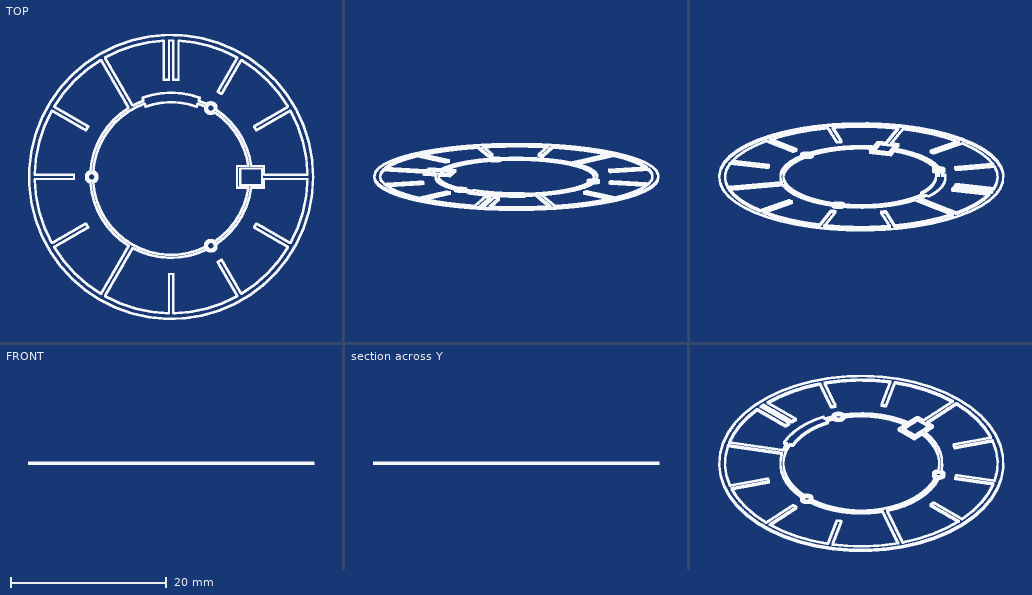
import cadquery as cq
import math

thickness = 0.2

outer_diameter = 36.5
outer_ring_width = 0.75
outer_radius = outer_diameter / 2
outer_ring_mid_radius = outer_radius - outer_ring_width / 2

inner_ring_mid_radius = 10.2
inner_ring_width = 0.4

bar_width = 0.6
short_bar_tip_radius = 12.45
short_bar_angles = [30, 60, 150, 180, 210, 270, 300, 330]
long_bar_angles = [120, 240]
twin_bar_angle = 90
twin_bar_width = 0.7
twin_bar_offset = 0.6

eyelet_angles = [60, 180, 300]
eyelet_pitch_radius = inner_ring_mid_radius
eyelet_outer_diameter = 1.5
eyelet_hole_diameter = 1.0

frame_inner_side_x = 8.45
frame_length = 3.5
frame_height = 2.8
window_length = 2.75
window_height = 2.1
window_side_wall = 0.45
window_angle = 0

plate_mid_radius = inner_ring_mid_radius
plate_width = 1.25
plate_mid_angle = 90
plate_half_angle = 20


def point(radius, angle):
    """X and Y of the point at a radius and an angle in degrees."""
    turn = math.radians(angle)
    return (radius * math.cos(turn), radius * math.sin(turn))


def ring(mid_radius, width):
    """Flat circular ring centred on the origin."""
    outer = cq.Workplane("XY").circle(mid_radius + width / 2)
    return outer.circle(mid_radius - width / 2).extrude(thickness)


def block(x_start, length, height, y_middle=0):
    """Rectangular plate that starts at x_start and runs along +X."""
    corner_y = y_middle - height / 2
    plate = cq.Workplane("XY").box(length, height, thickness, centered=False)
    return plate.translate((x_start, corner_y, 0))


def radial_bar(angle, tip_radius, width=bar_width, offset=0):
    """Bar from tip_radius to the middle of the outer ring, shifted sideways by offset."""
    bar = block(tip_radius, outer_ring_mid_radius - tip_radius, width, offset)
    return bar.rotate((0, 0, 0), (0, 0, 1), angle)


def discs_at_eyelets(diameter):
    """Discs of the given diameter at every eyelet position."""
    centers = [point(eyelet_pitch_radius, angle) for angle in eyelet_angles]
    return cq.Workplane("XY").pushPoints(centers).circle(diameter / 2).extrude(thickness)


def name_plate():
    """Band bounded by two concentric arcs and two radial ends."""
    inner = plate_mid_radius - plate_width / 2
    outer = plate_mid_radius + plate_width / 2
    start = plate_mid_angle - plate_half_angle
    end = plate_mid_angle + plate_half_angle
    outline = cq.Workplane("XY").moveTo(*point(inner, start)).lineTo(*point(outer, start))
    outline = outline.threePointArc(point(outer, plate_mid_angle), point(outer, end))
    outline = outline.lineTo(*point(inner, end))
    outline = outline.threePointArc(point(inner, plate_mid_angle), point(inner, start))
    return outline.close().extrude(thickness)


body = ring(outer_ring_mid_radius, outer_ring_width)
body = body.union(ring(inner_ring_mid_radius, inner_ring_width))

for angle in short_bar_angles:
    body = body.union(radial_bar(angle, short_bar_tip_radius))
for angle in long_bar_angles:
    body = body.union(radial_bar(angle, inner_ring_mid_radius))
for side in (-1, 1):
    twin = radial_bar(twin_bar_angle, short_bar_tip_radius, twin_bar_width, side * twin_bar_offset)
    body = body.union(twin)
frame_outer_side_x = frame_inner_side_x + frame_length
window_outer_side_x = frame_inner_side_x + window_side_wall + window_length
window_bar_tip_x = (frame_outer_side_x + window_outer_side_x) / 2
body = body.union(radial_bar(window_angle, window_bar_tip_x))

body = body.union(name_plate())
body = body.union(block(frame_inner_side_x, frame_length, frame_height))
body = body.cut(block(frame_inner_side_x + window_side_wall, window_length, window_height))
body = body.union(discs_at_eyelets(eyelet_outer_diameter))
body = body.cut(discs_at_eyelets(eyelet_hole_diameter))

result = body